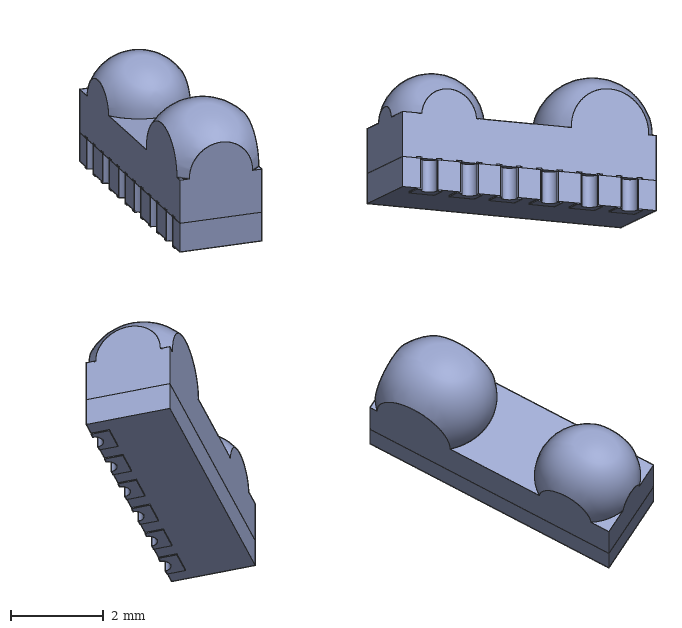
import cadquery as cq

LENGTH = 6.0
WIDTH = 1.9
PLATING = 0.03
BOARD_THICKNESS = 0.665
BASE_THICKNESS = 0.995

CONTACT_COUNT = 6
CONTACT_PITCH = 0.95
PAD_WIDTH = 0.6
PAD_DEPTH = 0.42
GROOVE_RADIUS = 0.18

DOME_OFFSET = 1.9
SMALL_DOME_RADIUS = 1.15
SMALL_DOME_SINK = 0.055
LARGE_DOME_RADIUS = 1.32
COLLAR_HEIGHT = 0.02

board_bottom = PLATING
board_top = board_bottom + BOARD_THICKNESS
base_top = board_top + BASE_THICKNESS
front_y = -WIDTH / 2
notch_radius = GROOVE_RADIUS + PLATING
contact_span = (CONTACT_COUNT - 1) * CONTACT_PITCH
contact_xs = [i * CONTACT_PITCH - contact_span / 2 for i in range(CONTACT_COUNT)]


def block(length, width, bottom, height):
    """Rectangular block centred on X and Y, standing on the given level."""
    return cq.Workplane("XY", origin=(0, 0, bottom)).box(length, width, height, centered=(True, True, False))


def edge_cylinder(x, radius, bottom, top):
    """Upright cylinder whose axis lies in the front face."""
    return cq.Workplane("XY", origin=(x, front_y, bottom)).circle(radius).extrude(top - bottom)


def make_contact(x):
    """Plated half-round groove with a flat pad above and below the board."""
    top = board_top + PLATING
    footprint = block(LENGTH, WIDTH, 0, top)
    pad_y = front_y + PAD_DEPTH / 2
    lower_pad = block(PAD_WIDTH, PAD_DEPTH, 0, PLATING).translate((x, pad_y, 0))
    upper_pad = block(PAD_WIDTH, PAD_DEPTH, board_top, PLATING).translate((x, pad_y, 0))
    sleeve = edge_cylinder(x, notch_radius, 0, top).intersect(footprint)
    groove = edge_cylinder(x, GROOVE_RADIUS, 0, top)
    return sleeve.union(lower_pad).union(upper_pad).cut(groove)


def make_board():
    """Circuit board with a half-round notch for each contact."""
    board = block(LENGTH, WIDTH, board_bottom, BOARD_THICKNESS)
    for x in contact_xs:
        board = board.cut(edge_cylinder(x, notch_radius, board_bottom, board_top))
    return board


def make_small_dome():
    """Sphere whose centre is sunk a little below the top of the base."""
    center = (-DOME_OFFSET, 0, base_top - SMALL_DOME_SINK)
    return cq.Workplane("XY").sphere(SMALL_DOME_RADIUS).translate(center)


def make_large_dome():
    """Sphere raised above the top of the base on a low straight collar."""
    center = (DOME_OFFSET, 0, base_top + COLLAR_HEIGHT)
    collar = cq.Workplane("XY", origin=center).circle(LARGE_DOME_RADIUS).extrude(-COLLAR_HEIGHT)
    return cq.Workplane("XY").sphere(LARGE_DOME_RADIUS).translate(center).union(collar)


def make_lens(contacts):
    """Base with two domes trimmed flush to its sides and recesses for the upper pads."""
    lens = block(LENGTH, WIDTH, board_top, BASE_THICKNESS)
    envelope = block(LENGTH, WIDTH, board_top, BASE_THICKNESS + COLLAR_HEIGHT + LARGE_DOME_RADIUS)
    for dome in (make_small_dome(), make_large_dome()):
        lens = lens.union(dome.intersect(envelope))
    for contact in contacts:
        lens = lens.cut(contact)
    return lens


contacts = [make_contact(x) for x in contact_xs]
board = make_board()
lens = make_lens(contacts)

result = cq.Compound.makeCompound([lens.val(), board.val(), *[contact.val() for contact in contacts]])